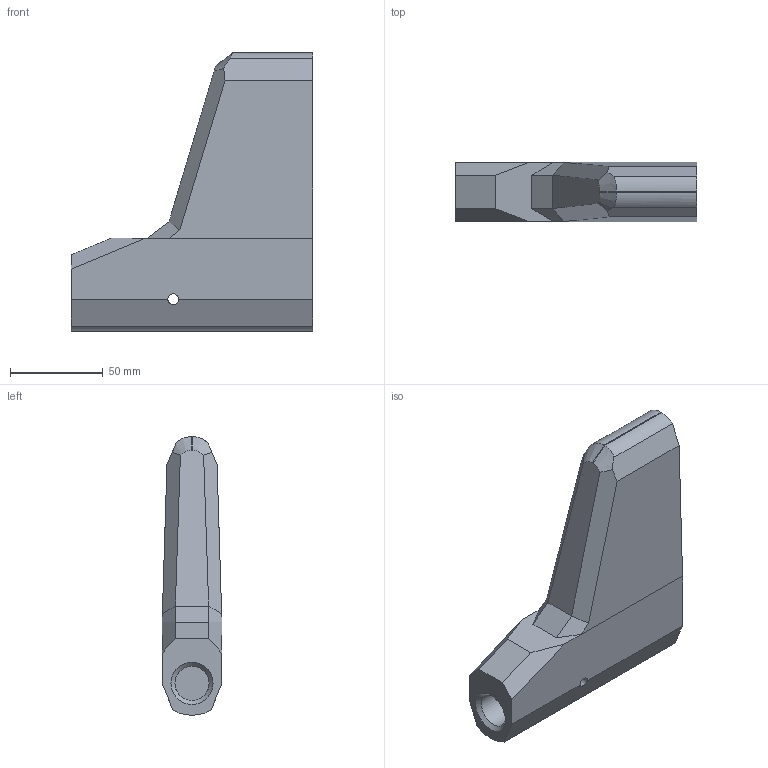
import cadquery as cq
import math

LENGTH = 130.0
WIDTH = 32.15
HEIGHT = 149.93
HALF_WIDTH = WIDTH / 2

BOTTOM_ARC_HALF = 10.2
BOTTOM_ARC_RISE = 2.7
AXIS_Z = 17.2
SHOULDER_Z = 50.15
CROWN_DROP = 15.1
CROWN_HALF = 13.5
TOP_ARC_DROP = 3.2
TOP_ARC_HALF = 8.4
TOP_FLAT_HALF = 0.25

RAMP_ANGLE = 22.5
RAMP_END_X = 21.7
FOOT_START_X = 41.2
FOOT_END = (52.6, 58.8)
NOSE_START = (77.7, 142.7)
NOSE_END_X = 86.8
NOSE_BASE_Z = 138.0
NOSE_CONE_AXIS_Z = 132.3

BEVEL_WIDTH = 7.1
FACE_HALF = HALF_WIDTH - BEVEL_WIDTH
NOSE_FACE_HALF = 6.15

BEAM_DEPTH = 2 * HEIGHT
BEAM_REACH = 1.5 * HEIGHT

BORE_DIAMETER = 18.41
BORE_DEPTH = 100.0
BORE_CHAMFER = 2.15
PIN_DIAMETER = 5.84
PIN_X = 54.9


def cross_section_bar():
    """Full-length bar with the symmetric cross-section of the part."""
    crown_z = HEIGHT - CROWN_DROP
    top_arc_z = HEIGHT - TOP_ARC_DROP

    arc_run = TOP_ARC_HALF - TOP_FLAT_HALF
    arc_radius = (arc_run**2 + TOP_ARC_DROP**2) / (2 * TOP_ARC_DROP)
    half_sweep = math.asin(arc_run / arc_radius) / 2
    arc_mid_y = TOP_FLAT_HALF + arc_radius * math.sin(half_sweep)
    arc_mid_z = HEIGHT - arc_radius * (1 - math.cos(half_sweep))

    return (
        cq.Workplane("YZ")
        .moveTo(-BOTTOM_ARC_HALF, BOTTOM_ARC_RISE)
        .threePointArc((0, 0), (BOTTOM_ARC_HALF, BOTTOM_ARC_RISE))
        .lineTo(HALF_WIDTH, AXIS_Z)
        .lineTo(HALF_WIDTH, SHOULDER_Z)
        .lineTo(CROWN_HALF, crown_z)
        .lineTo(TOP_ARC_HALF, top_arc_z)
        .threePointArc((arc_mid_y, arc_mid_z), (TOP_FLAT_HALF, HEIGHT))
        .lineTo(-TOP_FLAT_HALF, HEIGHT)
        .threePointArc((-arc_mid_y, arc_mid_z), (-TOP_ARC_HALF, top_arc_z))
        .lineTo(-CROWN_HALF, crown_z)
        .lineTo(-HALF_WIDTH, SHOULDER_Z)
        .lineTo(-HALF_WIDTH, AXIS_Z)
        .close()
        .extrude(LENGTH)
    )


def bevelled_beam(start, end, start_half, end_half):
    """Long solid behind a sloping face, with a 45 degree bevel falling away on each side.

    The face passes through the XZ points start and end, where it has the given half widths.
    """
    run = end[0] - start[0]
    rise = end[1] - start[1]
    span = math.hypot(run, rise)
    narrowing = (start_half - end_half) / span
    section_plane = cq.Plane(origin=(start[0], 0, start[1]), xDir=(0, 1, 0), normal=(run, 0, rise))

    def section(sketch, distance):
        face_half = start_half - narrowing * distance
        foot_half = face_half + BEAM_DEPTH
        return sketch.polyline(
            [(-foot_half, -BEAM_DEPTH), (-face_half, 0), (face_half, 0), (foot_half, -BEAM_DEPTH)]
        ).close()

    lower_end = section(cq.Workplane(section_plane).workplane(offset=-BEAM_REACH), -BEAM_REACH)
    both_ends = section(lower_end.workplane(offset=2 * BEAM_REACH), BEAM_REACH)
    return both_ends.loft(ruled=True)


def side_envelope():
    """Everything behind the ramp, the foot and the sloping front face."""
    foot_start = (FOOT_START_X, SHOULDER_Z)
    ramp_start = (0, SHOULDER_Z - RAMP_END_X * math.tan(math.radians(RAMP_ANGLE)))
    ramp_end = (RAMP_END_X, SHOULDER_Z)
    ramp = bevelled_beam(ramp_start, ramp_end, FACE_HALF, FACE_HALF)
    foot = bevelled_beam(foot_start, FOOT_END, FACE_HALF, FACE_HALF)
    front = bevelled_beam(FOOT_END, NOSE_START, FACE_HALF, NOSE_FACE_HALF)

    below_shoulder = cq.Workplane("XY").box(LENGTH, WIDTH, SHOULDER_Z, centered=(False, True, False))
    above_shoulder = (
        cq.Workplane("XY")
        .workplane(offset=SHOULDER_Z)
        .box(LENGTH, WIDTH, HEIGHT - SHOULDER_Z, centered=(False, True, False))
    )
    lower = below_shoulder.intersect(ramp)
    foot_part = above_shoulder.intersect(foot)
    front_part = above_shoulder.intersect(front)
    return lower.union(foot_part).union(front_part)


def nose_cutter():
    """Block around the upper front corner, hollowed by the cones that form the nose."""
    end_radius = HEIGHT - NOSE_CONE_AXIS_Z
    cone_slope = (HEIGHT - NOSE_START[1]) / (NOSE_END_X - NOSE_START[0])
    cone_length = end_radius / cone_slope
    tip_x = NOSE_END_X - cone_length

    nose = (
        cq.Workplane("XZ")
        .polyline([(tip_x, NOSE_CONE_AXIS_Z), (NOSE_END_X, HEIGHT), (NOSE_END_X, NOSE_CONE_AXIS_Z)])
        .close()
        .extrude(TOP_FLAT_HALF, both=True)
    )
    for side in (-1, 1):
        tip = cq.Vector(tip_x, side * TOP_FLAT_HALF, NOSE_CONE_AXIS_Z)
        cone = cq.Solid.makeCone(0, end_radius, cone_length, pnt=tip, dir=cq.Vector(1, 0, 0))
        nose = nose.union(cq.Workplane(cone))

    block = (
        cq.Workplane("XY")
        .workplane(offset=NOSE_BASE_Z)
        .box(NOSE_END_X, WIDTH, HEIGHT - NOSE_BASE_Z, centered=(False, True, False))
    )
    return block.cut(nose)


def socket_bore():
    """Blind bore from the socket end with a chamfered mouth."""
    bore_radius = BORE_DIAMETER / 2
    mouth_radius = bore_radius + BORE_CHAMFER
    start = cq.Vector(0, 0, AXIS_Z)
    direction = cq.Vector(1, 0, 0)
    bore = cq.Workplane(cq.Solid.makeCylinder(bore_radius, BORE_DEPTH, start, direction))
    mouth = cq.Workplane(cq.Solid.makeCone(mouth_radius, bore_radius, BORE_CHAMFER, start, direction))
    return bore.union(mouth)


def pin_hole():
    """Cross hole through both sides, meeting the bore axis."""
    return (
        cq.Workplane("XZ")
        .center(PIN_X, AXIS_Z)
        .circle(PIN_DIAMETER / 2)
        .extrude(WIDTH, both=True)
    )


body = cross_section_bar().intersect(side_envelope())
body = body.cut(nose_cutter())
result = body.cut(socket_bore()).cut(pin_hole())